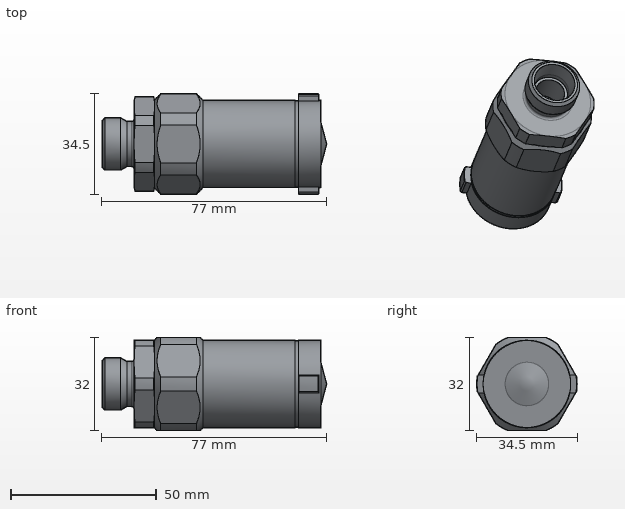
import cadquery as cq
import math


thread_chamfer = 1.0
thread_end = 6.4
fitting_hex_start = 11.0
fitting_hex_length = 7.0
housing_start = fitting_hex_start + fitting_hex_length
barrel_end = 66.1
cap_start = 67.25
cap_end = 75.0
cone_height = 2.0

thread_radius = 9.0
neck_radius = 7.8
neck_taper_angle = 30.0
neck_fillet = 0.9
fitting_flats = 30.0
fitting_corner_radius = 16.3
fitting_face_radius = fitting_flats / 2
fitting_hex_chamfer = 0.3
mouth_radius = 7.1
socket_radius = 6.0
socket_cone_angle = 12.0
socket_depth = 7.0
bore_radius = 5.0

housing_flats = 32.0
housing_corner_radius = 17.25
barrel_radius = 15.0
housing_face_radius = 15.15
housing_hex_length = 16.6
end_neck_radius = 14.85

cone_angle = 15.0
lug_length = 7.0
lug_width = 6.3
lug_radius = 17.25
lug_side_chamfer = 0.5
lug_end_chamfer = 0.2


def revolve_about_x(profile):
    """Turn a closed (x, radius) profile about the X axis."""
    return profile.close().revolve(360, (0, 0, 0), (1, 0, 0))


def hexagon_bar(across_flats, start, length):
    """Hexagonal bar along X with corners on the +Y and -Y sides."""
    across_corners = across_flats / math.cos(math.radians(30))
    return cq.Workplane("YZ", origin=(start, 0, 0)).polygon(6, across_corners).extrude(length)


def turned_hexagon(across_flats, corner_radius, start, length, front_cone, back_cone):
    """Hexagonal bar with its corners turned round and both ends coned.

    Each cone is a pair: its length along X and the radius it narrows to at the end face.
    """
    end = start + length
    front_length, front_radius = front_cone
    back_length, back_radius = back_cone
    envelope = revolve_about_x(
        cq.Workplane("XY")
        .moveTo(start, 0)
        .lineTo(start, front_radius)
        .lineTo(start + front_length, corner_radius)
        .lineTo(end - back_length, corner_radius)
        .lineTo(end, back_radius)
        .lineTo(end, 0)
    )
    return hexagon_bar(across_flats, start, length).intersect(envelope)


def make_fitting():
    """Threaded stub with a coned socket, a relief neck and a hexagon."""
    taper_end = thread_end + (thread_radius - neck_radius) / math.tan(math.radians(neck_taper_angle))
    stub = revolve_about_x(
        cq.Workplane("XY")
        .lineTo(0, thread_radius - thread_chamfer)
        .lineTo(thread_chamfer, thread_radius)
        .lineTo(thread_end, thread_radius)
        .lineTo(taper_end, neck_radius)
        .lineTo(fitting_hex_start - neck_fillet, neck_radius)
        .radiusArc((fitting_hex_start, neck_radius + neck_fillet), -neck_fillet)
        .lineTo(fitting_hex_start, 0)
    )
    hex_cone = (fitting_hex_chamfer, fitting_face_radius)
    hexagon = turned_hexagon(
        fitting_flats,
        fitting_corner_radius,
        fitting_hex_start,
        fitting_hex_length,
        hex_cone,
        hex_cone,
    )
    socket_cone_length = (mouth_radius - socket_radius) / math.tan(math.radians(socket_cone_angle))
    socket = revolve_about_x(
        cq.Workplane("XY")
        .lineTo(0, mouth_radius)
        .lineTo(socket_cone_length, socket_radius)
        .lineTo(socket_depth, socket_radius)
        .lineTo(socket_depth, bore_radius)
        .lineTo(housing_start, bore_radius)
        .lineTo(housing_start, 0)
    )
    return stub.union(hexagon).cut(socket)


def make_housing():
    """Hexagon, plain barrel and the slightly thinner neck that meets the cap."""
    hexagon = turned_hexagon(
        housing_flats,
        housing_corner_radius,
        housing_start,
        housing_hex_length,
        (housing_corner_radius - housing_face_radius, housing_face_radius),
        (housing_corner_radius - barrel_radius, barrel_radius),
    )
    barrel = revolve_about_x(
        cq.Workplane("XY")
        .moveTo(housing_start, 0)
        .lineTo(housing_start, barrel_radius)
        .lineTo(barrel_end, barrel_radius)
        .lineTo(barrel_end, end_neck_radius)
        .lineTo(cap_start, end_neck_radius)
        .lineTo(cap_start, 0)
    )
    return hexagon.union(barrel)


def make_lug_bar():
    """Bar across the cap with rounded outer faces; its two ends are the lugs."""
    bar = cq.Workplane("XY").box(
        lug_length, 2 * lug_radius, lug_width, centered=(False, True, True)
    )
    disc = cq.Workplane("YZ").circle(lug_radius).extrude(lug_length)
    end_chamfered_disc = disc.edges().chamfer(lug_end_chamfer)
    lugs = bar.intersect(disc).edges("|X").chamfer(lug_side_chamfer)
    return lugs.intersect(end_chamfered_disc).translate((cap_start, 0, 0))


def make_cap():
    """Flat-ended disc with a shallow centre cone and two opposite lugs."""
    cone_radius = cone_height / math.tan(math.radians(cone_angle))
    disc = revolve_about_x(
        cq.Workplane("XY")
        .moveTo(cap_start, 0)
        .lineTo(cap_start, barrel_radius)
        .lineTo(cap_end, barrel_radius)
        .lineTo(cap_end, cone_radius)
        .lineTo(cap_end + cone_height, 0)
    )
    return disc.union(make_lug_bar())


fitting = make_fitting()
housing = make_housing()
cap = make_cap()

result = cq.Compound.makeCompound([fitting.val(), housing.val(), cap.val()])